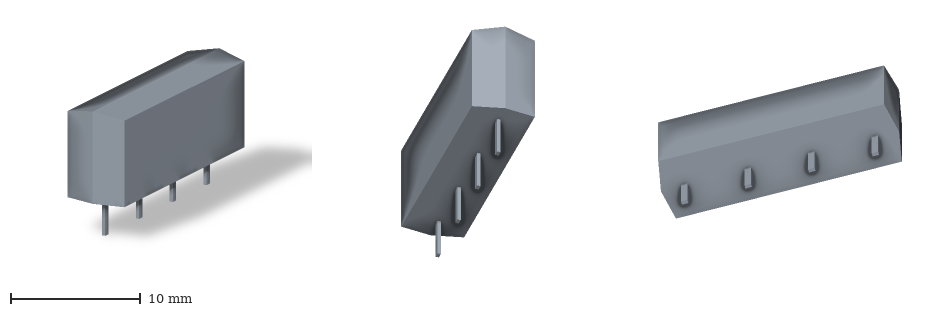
import cadquery as cq

body_width = 5.09
body_length = 19.05
total_height = 10.45
pin_length = 3.0
body_height = total_height - pin_length
end_point_depth = 0.5
roof_rise = 0.5

pin_count = 4
pin_pitch = 5.09
pin_width = 0.51
pin_thickness = 0.29
pin_embed = 0.38

half_width = body_width / 2
half_length = body_length / 2


def make_body():
    """Six-sided plan outline, trimmed by a gabled cross-section; base at Z = 0."""
    shoulder_y = half_length - end_point_depth
    plan = [
        (-half_width, -shoulder_y),
        (0, -half_length),
        (half_width, -shoulder_y),
        (half_width, shoulder_y),
        (0, half_length),
        (-half_width, shoulder_y),
    ]
    eave_z = body_height - roof_rise
    gable = [
        (-half_width, 0),
        (half_width, 0),
        (half_width, eave_z),
        (0, body_height),
        (-half_width, eave_z),
    ]
    prism = cq.Workplane("XY").polyline(plan).close().extrude(body_height)
    roofed = cq.Workplane("XZ").polyline(gable).close().extrude(half_length, both=True)
    return prism.intersect(roofed)


def make_pins():
    """Evenly spaced rectangular pins hanging below the base."""
    return (
        cq.Workplane("XY")
        .workplane(offset=-pin_length)
        .rarray(0.2, pin_pitch, 1, pin_count)
        .rect(pin_thickness, pin_width)
        .extrude(pin_length + pin_embed)
    )


result = make_body().union(make_pins())